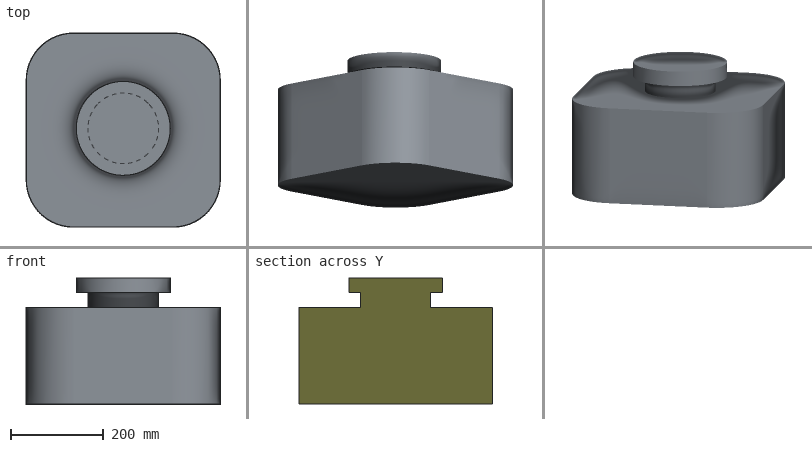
import cadquery as cq

base_side = 419.0
base_height = 209.5
corner_radius = 102.3

neck_diameter = 152.5
cap_diameter = 203.0
step_height = 32.0
knob_offset_y = 3.8


def make_base():
    block = cq.Workplane("XY").box(base_side, base_side, base_height, centered=(True, True, False))
    return block.edges("|Z").fillet(corner_radius)


def make_disc(diameter, bottom):
    plane = cq.Workplane("XY", origin=(0, knob_offset_y, bottom))
    return plane.circle(diameter / 2).extrude(step_height)


neck = make_disc(neck_diameter, base_height)
cap = make_disc(cap_diameter, base_height + step_height)

result = make_base().union(neck).union(cap)